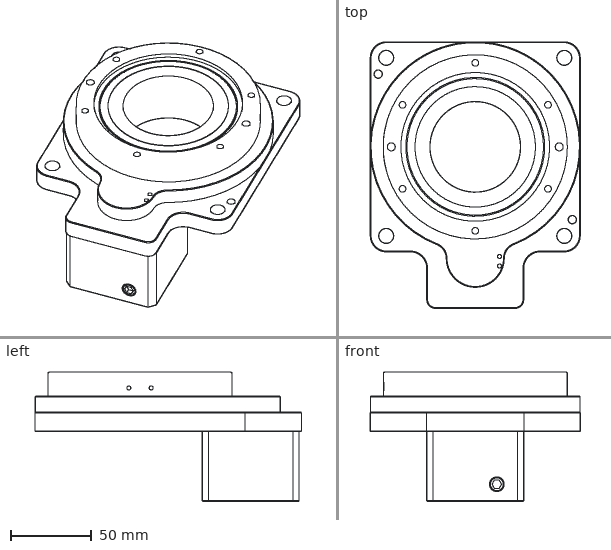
import cadquery as cq
import math

OVERALL_LENGTH = 165.0

PLATE_SIDE = 130.0
PLATE_THICKNESS = 12.0
PLATE_CORNER_RADIUS = 10.0
PLATE_EDGE_CHAMFER = 0.5
NECK_WIDTH = 60.0
NECK_END_Y = PLATE_SIDE / 2 - OVERALL_LENGTH
NECK_CORNER_RADIUS = 5.5
NECK_ROOT_RADIUS = 10.0

RING_HEIGHT = 9.9
RING_RADIUS = PLATE_SIDE / 2
RING_EDGE_CHAMFER = 0.5
LOBE_RADIUS = 18.0
LOBE_CENTRE_Y = -69.0

TABLE_DIAMETER = 114.0
TABLE_HEIGHT = 15.0
TABLE_EDGE_RADIUS = 1.0
BORE_DIAMETER = 56.0
RECESS_DIAMETER = 92.0
RECESS_DEPTH = 2.6
GROOVE_OUTER_DIAMETER = 86.0
GROOVE_INNER_DIAMETER = 84.5
GROOVE_DEPTH = 0.8

SLEEVE_DIAMETER = 74.5
SLEEVE_BELOW_TOP = 2.3

MOTOR_SIDE = 60.0
MOTOR_HEIGHT = 43.0
MOTOR_SETBACK = 1.5
MOTOR_FRONT_Y = NECK_END_Y + MOTOR_SETBACK
MOTOR_CORNER_CHAMFER = 4.0
MOTOR_BOTTOM_CHAMFER = 0.5

PLUG_X = 13.4
PLUG_ABOVE_MOTOR_BOTTOM = 10.5
PLUG_BORE_DIAMETER = 9.0
PLUG_DIAMETER = 8.0
PLUG_GAP_DEPTH = 1.0
PLUG_HEX_ACROSS_CORNERS = 6.0
PLUG_HEX_DEPTH = 3.0

CORNER_HOLE_DIAMETER = 9.0
CORNER_HOLE_OFFSET = 55.1
DOWEL_DIAMETER = 5.0
DOWEL_X = 60.0
DOWEL_Y = 45.0

TABLE_HOLE_CIRCLE_RADIUS = 52.0
TAPPED_HOLE_COUNT = 6
TAPPED_HOLE_DIAMETER = 4.1
TABLE_HOLE_DEPTH = 9.9
PIN_HOLE_DIAMETER = 5.0

SMALL_HOLE_DIAMETER = 2.5
SMALL_HOLE_DEPTH = 5.0
LOBE_HOLE_X = 15.0
LOBE_HOLE_YS = (-67.8, -73.7)
SIDE_HOLE_Y = 7.0
SIDE_HOLE_BELOW_TOP = 9.9

DRILL_TIP_ANGLE = 118.0
DOWN = (0, 0, -1)
INWARD_FROM_LEFT = (1, 0, 0)

PLATE_TOP = PLATE_THICKNESS
RING_TOP = PLATE_TOP + RING_HEIGHT
TABLE_TOP = RING_TOP + TABLE_HEIGHT
RECESS_FLOOR = TABLE_TOP - RECESS_DEPTH
SLEEVE_TOP = TABLE_TOP - SLEEVE_BELOW_TOP
MOTOR_BOTTOM = -MOTOR_HEIGHT


def drilled_hole(diameter, depth, mouth, direction):
    """Blind hole with a conical drill tip."""
    radius = diameter / 2
    tip_length = radius / math.tan(math.radians(DRILL_TIP_ANGLE / 2))
    start = cq.Vector(*mouth)
    axis = cq.Vector(*direction)
    shank = cq.Solid.makeCylinder(radius, depth, start, axis)
    tip = cq.Solid.makeCone(radius, 0, tip_length, start + axis * depth, axis)
    return cq.Workplane(shank).union(cq.Workplane(tip))


def disc(diameter, bottom, top):
    """Cylinder on the table axis between two levels."""
    return cq.Workplane("XY", origin=(0, 0, bottom)).circle(diameter / 2).extrude(top - bottom)


def make_plate():
    half_side = PLATE_SIDE / 2
    half_neck = NECK_WIDTH / 2
    flange = (
        cq.Workplane("XY")
        .rect(PLATE_SIDE, PLATE_SIDE)
        .extrude(PLATE_THICKNESS)
        .edges("|Z")
        .fillet(PLATE_CORNER_RADIUS)
    )
    neck = (
        cq.Workplane("XY")
        .moveTo(-half_neck, 0)
        .lineTo(-half_neck, NECK_END_Y)
        .lineTo(half_neck, NECK_END_Y)
        .lineTo(half_neck, 0)
        .close()
        .extrude(PLATE_THICKNESS)
        .edges("|Z and <Y")
        .fillet(NECK_CORNER_RADIUS)
    )
    plate = flange.union(neck)
    for x in (-half_neck, half_neck):
        root_edge = cq.NearestToPointSelector((x, -half_side, PLATE_TOP / 2))
        plate = plate.edges(root_edge).fillet(NECK_ROOT_RADIUS)
    plate = plate.faces("<Z or >Z").chamfer(PLATE_EDGE_CHAMFER)

    offsets = (-CORNER_HOLE_OFFSET, CORNER_HOLE_OFFSET)
    corners = [(x, y) for x in offsets for y in offsets]
    plate = plate.cut(
        cq.Workplane("XY").pushPoints(corners).circle(CORNER_HOLE_DIAMETER / 2).extrude(PLATE_THICKNESS)
    )
    dowels = [(-DOWEL_X, DOWEL_Y), (DOWEL_X, -DOWEL_Y)]
    return plate.cut(
        cq.Workplane("XY").pushPoints(dowels).circle(DOWEL_DIAMETER / 2).extrude(PLATE_THICKNESS)
    )


def make_ring():
    reach = -LOBE_CENTRE_Y
    root_radius = (LOBE_RADIUS**2 + reach**2 - RING_RADIUS**2) / (2 * (RING_RADIUS - LOBE_RADIUS))
    root_x = LOBE_RADIUS + root_radius
    ring_share = RING_RADIUS / (RING_RADIUS + root_radius)
    ring_touch = (root_x * ring_share, LOBE_CENTRE_Y * ring_share)
    lobe_touch = (LOBE_RADIUS, LOBE_CENTRE_Y)
    middle_angle = (math.pi + math.atan2(reach, -root_x)) / 2
    root_middle = (
        root_x + root_radius * math.cos(middle_angle),
        LOBE_CENTRE_Y + root_radius * math.sin(middle_angle),
    )

    def mirrored(point):
        return (-point[0], point[1])

    ring = (
        cq.Workplane("XY", origin=(0, 0, PLATE_TOP))
        .moveTo(*ring_touch)
        .threePointArc((0, RING_RADIUS), mirrored(ring_touch))
        .threePointArc(mirrored(root_middle), mirrored(lobe_touch))
        .threePointArc((0, LOBE_CENTRE_Y - LOBE_RADIUS), lobe_touch)
        .threePointArc(root_middle, ring_touch)
        .close()
        .extrude(RING_HEIGHT)
        .faces(">Z")
        .chamfer(RING_EDGE_CHAMFER)
    )
    for y in LOBE_HOLE_YS:
        ring = ring.cut(
            drilled_hole(SMALL_HOLE_DIAMETER, SMALL_HOLE_DEPTH, (LOBE_HOLE_X, y, RING_TOP), DOWN)
        )
    return ring


def make_table():
    table = disc(TABLE_DIAMETER, RING_TOP, TABLE_TOP).faces(">Z").fillet(TABLE_EDGE_RADIUS)
    table = table.cut(disc(RECESS_DIAMETER, RECESS_FLOOR, TABLE_TOP))
    groove_bottom = RECESS_FLOOR - GROOVE_DEPTH
    groove = disc(GROOVE_OUTER_DIAMETER, groove_bottom, RECESS_FLOOR)
    groove = groove.cut(disc(GROOVE_INNER_DIAMETER, groove_bottom, RECESS_FLOOR))
    table = table.cut(groove)
    table = table.union(disc(SLEEVE_DIAMETER, RING_TOP, SLEEVE_TOP))

    for index in range(TAPPED_HOLE_COUNT):
        angle = (index + 0.5) * 2 * math.pi / TAPPED_HOLE_COUNT
        x = TABLE_HOLE_CIRCLE_RADIUS * math.cos(angle)
        y = TABLE_HOLE_CIRCLE_RADIUS * math.sin(angle)
        table = table.cut(drilled_hole(TAPPED_HOLE_DIAMETER, TABLE_HOLE_DEPTH, (x, y, TABLE_TOP), DOWN))

    pins = [(-TABLE_HOLE_CIRCLE_RADIUS, 0), (TABLE_HOLE_CIRCLE_RADIUS, 0)]
    table = table.cut(
        cq.Workplane("XY", origin=(0, 0, TABLE_TOP))
        .pushPoints(pins)
        .circle(PIN_HOLE_DIAMETER / 2)
        .extrude(-TABLE_HOLE_DEPTH)
    )

    for y in (-SIDE_HOLE_Y, SIDE_HOLE_Y):
        mouth = (-TABLE_DIAMETER / 2, y, TABLE_TOP - SIDE_HOLE_BELOW_TOP)
        table = table.cut(drilled_hole(SMALL_HOLE_DIAMETER, SMALL_HOLE_DEPTH, mouth, INWARD_FROM_LEFT))
    return table


def make_motor():
    motor = (
        cq.Workplane("XY", origin=(0, MOTOR_FRONT_Y + MOTOR_SIDE / 2, MOTOR_BOTTOM))
        .rect(MOTOR_SIDE, MOTOR_SIDE)
        .extrude(MOTOR_HEIGHT)
        .edges("|Z")
        .chamfer(MOTOR_CORNER_CHAMFER)
        .faces("<Z")
        .chamfer(MOTOR_BOTTOM_CHAMFER)
    )
    face = cq.Workplane("XZ", origin=(PLUG_X, MOTOR_FRONT_Y, MOTOR_BOTTOM + PLUG_ABOVE_MOTOR_BOTTOM))
    gap = face.circle(PLUG_BORE_DIAMETER / 2).circle(PLUG_DIAMETER / 2).extrude(-PLUG_GAP_DEPTH)
    socket = face.polygon(6, PLUG_HEX_ACROSS_CORNERS).extrude(-PLUG_HEX_DEPTH)
    return motor.cut(gap).cut(socket)


body = make_plate().union(make_motor()).union(make_ring()).union(make_table())
result = body.cut(disc(BORE_DIAMETER, 0, TABLE_TOP))